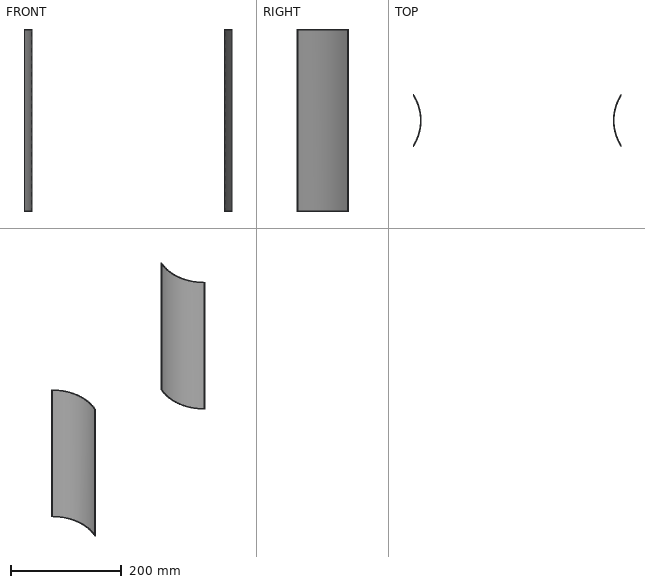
import cadquery as cq
import math

SPAN = 375.0
WIDTH = 93.5
HEIGHT = 328.0

THICKNESS = 1.0
BULGE = 14.0

HALF_SPAN = SPAN / 2
HALF_WIDTH = WIDTH / 2
INNER_FACE_RADIUS = (HALF_WIDTH**2 + BULGE**2) / (2 * BULGE)
OUTER_FACE_RADIUS = INNER_FACE_RADIUS - THICKNESS
AXIS_X = HALF_SPAN - BULGE + INNER_FACE_RADIUS
OUTER_FACE_HALF_WIDTH = math.sqrt(OUTER_FACE_RADIUS**2 - (AXIS_X - HALF_SPAN) ** 2)


def curved_shell(side):
    """Thin upright shell bulging toward the centre; side is -1 or +1 along X.

    Both arcs share one axis, and flat faces in the outer plane join their ends.
    """
    edge_x = side * HALF_SPAN
    inner_face_x = side * (AXIS_X - INNER_FACE_RADIUS)
    outer_face_x = side * (AXIS_X - OUTER_FACE_RADIUS)
    return (
        cq.Workplane("XY")
        .moveTo(edge_x, -HALF_WIDTH)
        .threePointArc((inner_face_x, 0), (edge_x, HALF_WIDTH))
        .lineTo(edge_x, OUTER_FACE_HALF_WIDTH)
        .threePointArc((outer_face_x, 0), (edge_x, -OUTER_FACE_HALF_WIDTH))
        .close()
        .extrude(HEIGHT)
    )


shells = [curved_shell(side).val() for side in (-1, 1)]

result = cq.Compound.makeCompound(shells)